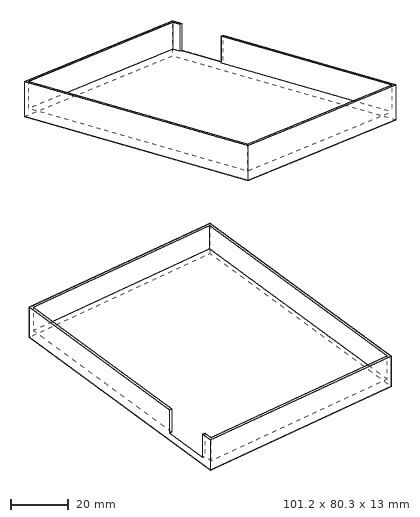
import cadquery as cq

length = 101.2
width = 80.3
height = 13.0
wall = 1.0
floor = 3

notch_start = 4.4
notch_width = 18.5

tray = cq.Workplane("XY").box(length, width, height, centered=(True, True, False))

cavity = (
    cq.Workplane("XY")
    .workplane(offset=floor)
    .rect(length - 2 * wall, width - 2 * wall)
    .extrude(height - floor)
)

notch = (
    cq.Workplane("XY")
    .box(notch_width, wall, height - floor, centered=False)
    .translate((-length / 2 + notch_start, width / 2 - wall, floor))
)

result = tray.cut(cavity).cut(notch)